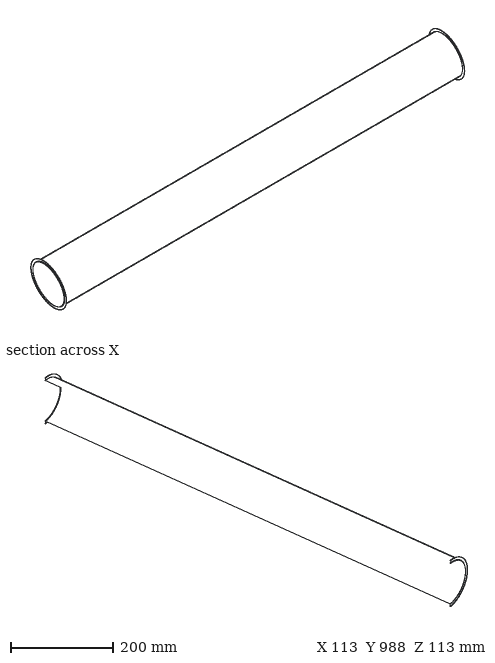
import cadquery as cq

length = 988.0
bore_diameter = 99.0
tube_diameter = 101.0
flange_diameter = 113.0
flange_thickness = 1.0


def cylinder_along_y(diameter, start, depth):
    """Solid cylinder on the Y axis, running in +Y from the given start."""
    plane = cq.Plane(origin=(0, start, 0), xDir=(1, 0, 0), normal=(0, 1, 0))
    return cq.Workplane(plane).circle(diameter / 2).extrude(depth)


front_end = -length / 2
back_end = length / 2
body = cylinder_along_y(tube_diameter, front_end, length)

for flange_start in (front_end, back_end - flange_thickness):
    body = body.union(cylinder_along_y(flange_diameter, flange_start, flange_thickness))

result = body.cut(cylinder_along_y(bore_diameter, front_end, length))